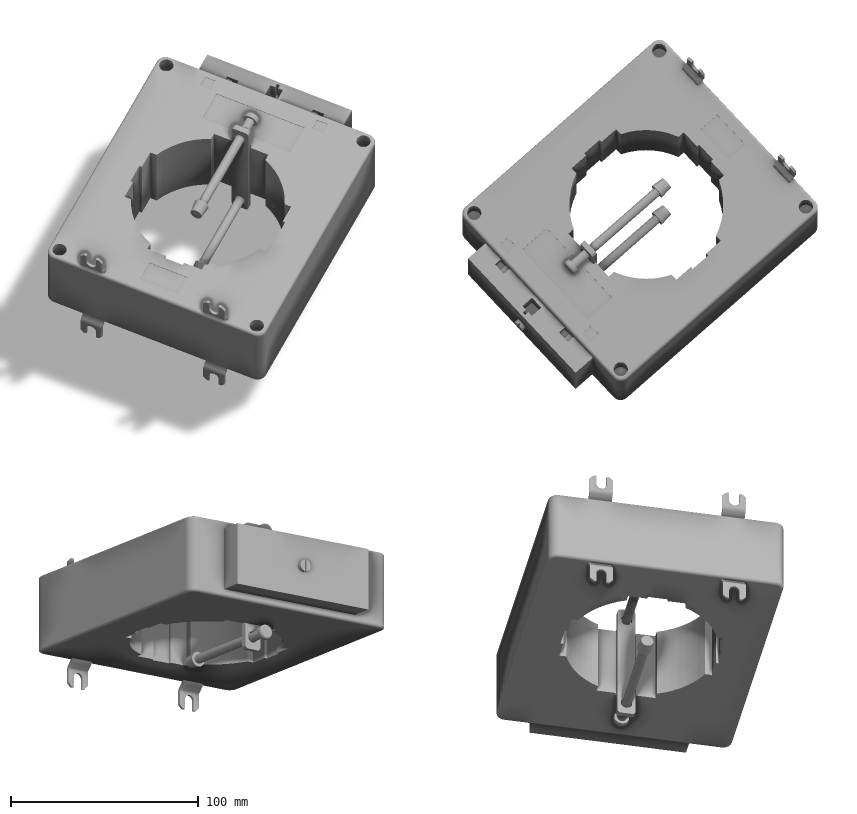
import cadquery as cq
import math


HOUSING_WIDTH = 128.0
HOUSING_HEIGHT = 145.0
HOUSING_DEPTH = 42.0
CORNER_RADIUS = 5.0
RIM_RADIUS = 1.5
FRONT_Z = HOUSING_DEPTH / 2
SIDE_Y = HOUSING_HEIGHT / 2

WINDOW_Y = -4.5
WINDOW_RADIUS = 41.0
ARM_WIDTH = 32.0
ARM_SPAN = 83.0
KEYWAY_WIDTH = 11.0
KEYWAY_SPAN = 86.0

CORNER_HOLE_DIAMETER = 7.6
CORNER_HOLE_DEPTH = 10.0
CORNER_HOLE_X = 58.1
CORNER_HOLE_Y = 66.6

LABEL_DEPTH = 0.3
PLATE_SIZE = (52.0, 17.8)
PLATE_Y = 52.4
SIDE_MARK_SIZE = (22.4, 12.0)
SIDE_MARK_Y = -59.8
TERMINAL_MARK_SIZE = (6.3, 6.3)
TERMINAL_MARK_X = 33.0
TERMINAL_MARK_Y = 65.5

FEET_HEIGHT = 71.4
FOOT_WIDTH = 12.5
FOOT_THICKNESS = 1.5
FOOT_X = 36.15
FOOT_OUTER_Y = -73.7
FOOT_OFFSET = 3.5
FOOT_BEND_Z = 25.2
FOOT_BEND_RADIUS = 1.5
FOOT_CHAMFER = 2.0
FOOT_SLOT_WIDTH = 5.6
FOOT_SLOT_DEPTH = 8.2
FOOT_EMBED = 4.0

COVER_WIDTH = 85.2
COVER_HEIGHT = 12.5
COVER_DEPTH = 33.6
COVER_FRONT_Z = COVER_DEPTH / 2
COVER_TOP_Y = SIDE_Y + COVER_HEIGHT
COVER_SCREW_DIAMETER = 6.5
COVER_SCREW_HEIGHT = 2.5
DRIVER_SLOT_WIDTH = 1.0
DRIVER_SLOT_DEPTH = 1.2
SEAL_POCKET_WIDTH = 7.4
SEAL_POCKET_Y = (74.4, 81.2)
SEAL_NECK_WIDTH = 1.8
SEAL_NECK_END_Y = 83.5
SEAL_POCKET_DEPTH = 10.0
NOTCH_WIDTH = 6.9
NOTCH_STEP_WIDTH = 2.9
NOTCH_HEIGHT = 4.1
NOTCH_DEPTH = 4.0
NOTCH_STEP_DEPTH = 2.0
NOTCH_LEFT_X = -27.1
NOTCH_PITCH = 50.7

BAR_WIDTH = 9.8
BAR_THICKNESS = 3.0
BAR_LENGTH = 70.0
BAR_CORNER_RADIUS = 2.0
BAR_BACK_Y = WINDOW_Y + KEYWAY_SPAN / 2
BAR_HOLE_DIAMETER = 6.2

SCREW_Z = 28.1
SHANK_DIAMETER = 5.0
HEAD_DIAMETER = 8.0
HEAD_TIP_DIAMETER = 6.2
HEAD_HEIGHT = 3.4
HEAD_RIM_HEIGHT = 1.7
HEAD_TOP_Y = 51.5
CAP_DIAMETER = 8.1
CAP_TIP_DIAMETER = 6.6
CAP_LENGTH = 7.0
CAP_TIP_Y = -19.2


def block(x_range, y_range, z_range):
    """Box given by its limits along each axis."""
    (x0, x1), (y0, y1), (z0, z1) = x_range, y_range, z_range
    return cq.Workplane("XY").box(x1 - x0, y1 - y0, z1 - z0, centered=False).translate((x0, y0, z0))


def make_window():
    """Through cutter: a round window with crossed arms and narrow keyways."""
    plane = cq.Workplane("XY", origin=(0, WINDOW_Y, -FRONT_Z))
    cutter = plane.circle(WINDOW_RADIUS).extrude(HOUSING_DEPTH)
    for span, width in ((ARM_SPAN, ARM_WIDTH), (KEYWAY_SPAN, KEYWAY_WIDTH)):
        cutter = cutter.union(plane.rect(span, width).extrude(HOUSING_DEPTH))
        cutter = cutter.union(plane.rect(width, span).extrude(HOUSING_DEPTH))
    return cutter


def make_front_foot(x):
    """Foot rising from the front face: straight, bent 45 degrees outward, then straight again."""
    tip_z = FEET_HEIGHT / 2
    root_z = FRONT_Z - FOOT_EMBED
    outer_y = FOOT_OUTER_Y
    inner_y = outer_y + FOOT_THICKNESS
    mitre = FOOT_THICKNESS * math.tan(math.radians(22.5))
    lower_bend_z = FOOT_BEND_Z - FOOT_OFFSET
    strip = (
        cq.Workplane("YZ")
        .moveTo(outer_y, tip_z)
        .lineTo(outer_y, FOOT_BEND_Z)
        .lineTo(outer_y + FOOT_OFFSET, lower_bend_z)
        .lineTo(outer_y + FOOT_OFFSET, root_z)
        .lineTo(inner_y + FOOT_OFFSET, root_z)
        .lineTo(inner_y + FOOT_OFFSET, lower_bend_z + mitre)
        .lineTo(inner_y, FOOT_BEND_Z + mitre)
        .lineTo(inner_y, tip_z)
        .close()
        .extrude(FOOT_WIDTH / 2, both=True)
    )

    def bend_edge(y, z):
        return cq.selectors.NearestToPointSelector((0, y, z))

    outside_radius = FOOT_BEND_RADIUS + FOOT_THICKNESS
    bends = (
        (outer_y, FOOT_BEND_Z, outside_radius),
        (inner_y, FOOT_BEND_Z + mitre, FOOT_BEND_RADIUS),
        (outer_y + FOOT_OFFSET, lower_bend_z, FOOT_BEND_RADIUS),
        (inner_y + FOOT_OFFSET, lower_bend_z + mitre, outside_radius),
    )
    for y, z, radius in bends:
        strip = strip.edges(bend_edge(y, z)).fillet(radius)
    strip = strip.faces(">Z").edges("|Y").chamfer(FOOT_CHAMFER)

    arc_z = tip_z - FOOT_SLOT_DEPTH + FOOT_SLOT_WIDTH / 2
    half_slot = FOOT_SLOT_WIDTH / 2
    slot = (
        cq.Workplane("XZ", origin=(0, inner_y, 0))
        .moveTo(-half_slot, tip_z)
        .lineTo(-half_slot, arc_z)
        .threePointArc((0, arc_z - half_slot), (half_slot, arc_z))
        .lineTo(half_slot, tip_z)
        .close()
        .extrude(FOOT_THICKNESS)
    )
    return strip.cut(slot).translate((x, 0, 0))


def label_recess(size, x, y):
    """Shallow rectangular cutter in the front face."""
    return cq.Workplane("XY", origin=(x, y, FRONT_Z - LABEL_DEPTH)).rect(*size).extrude(LABEL_DEPTH)


def make_housing():
    """Rounded block with its window, corner holes, label recesses and four feet."""
    housing = (
        cq.Workplane("XY")
        .box(HOUSING_WIDTH, HOUSING_HEIGHT, HOUSING_DEPTH)
        .edges("|Z").fillet(CORNER_RADIUS)
        .faces("<Z or >Z").edges().fillet(RIM_RADIUS)
        .cut(make_window())
    )
    corner_holes = (
        cq.Workplane("XY", origin=(0, 0, FRONT_Z - CORNER_HOLE_DEPTH))
        .rect(2 * CORNER_HOLE_X, 2 * CORNER_HOLE_Y, forConstruction=True)
        .vertices()
        .circle(CORNER_HOLE_DIAMETER / 2)
        .extrude(CORNER_HOLE_DEPTH)
    )
    housing = housing.cut(corner_holes)
    housing = housing.cut(label_recess(PLATE_SIZE, 0, PLATE_Y))
    housing = housing.cut(label_recess(SIDE_MARK_SIZE, 0, SIDE_MARK_Y))
    for side in (-1, 1):
        housing = housing.cut(label_recess(TERMINAL_MARK_SIZE, side * TERMINAL_MARK_X, TERMINAL_MARK_Y))
        foot = make_front_foot(side * FOOT_X)
        housing = housing.union(foot).union(foot.mirror("XY"))
    return housing


def make_cover():
    """Terminal cover on the housing top, with its screw head, seal pocket and stepped notches."""
    half_width = COVER_WIDTH / 2
    cover = block(
        (-half_width, half_width), (SIDE_Y, COVER_TOP_Y), (-COVER_FRONT_Z, COVER_FRONT_Z)
    )

    screw_top_y = COVER_TOP_Y + COVER_SCREW_HEIGHT
    screw_radius = COVER_SCREW_DIAMETER / 2
    screw_plane = cq.Workplane("XZ", origin=(0, screw_top_y, 0))
    screw_head = screw_plane.circle(screw_radius).extrude(COVER_SCREW_HEIGHT)
    driver_slot = block(
        (-DRIVER_SLOT_WIDTH / 2, DRIVER_SLOT_WIDTH / 2),
        (screw_top_y - DRIVER_SLOT_DEPTH, screw_top_y),
        (-screw_radius, screw_radius),
    )
    cover = cover.union(screw_head.cut(driver_slot))

    pocket_z = (COVER_FRONT_Z - SEAL_POCKET_DEPTH, COVER_FRONT_Z)
    chamber = block((-SEAL_POCKET_WIDTH / 2, SEAL_POCKET_WIDTH / 2), SEAL_POCKET_Y, pocket_z)
    neck = block((-SEAL_NECK_WIDTH / 2, SEAL_NECK_WIDTH / 2), (SEAL_POCKET_Y[1], SEAL_NECK_END_Y), pocket_z)
    cover = cover.cut(chamber).cut(neck)

    notch_y = (SIDE_Y, SIDE_Y + NOTCH_HEIGHT)
    for left_x in (NOTCH_LEFT_X, NOTCH_LEFT_X + NOTCH_PITCH):
        step_x = left_x + NOTCH_STEP_WIDTH
        right_x = left_x + NOTCH_WIDTH
        cover = cover.cut(block((left_x, step_x), notch_y, (COVER_FRONT_Z - NOTCH_STEP_DEPTH, COVER_FRONT_Z)))
        cover = cover.cut(block((step_x, right_x), notch_y, (COVER_FRONT_Z - NOTCH_DEPTH, COVER_FRONT_Z)))
    return cover


def make_clamp_bar():
    """Flat bar with rounded ends and a clearance hole for each clamp screw."""
    bar = (
        cq.Workplane("XZ", origin=(0, BAR_BACK_Y, 0))
        .rect(BAR_WIDTH, BAR_LENGTH)
        .extrude(BAR_THICKNESS)
        .edges("|Y").fillet(BAR_CORNER_RADIUS)
    )
    holes = (
        cq.Workplane("XZ", origin=(0, BAR_BACK_Y, 0))
        .pushPoints([(0, -SCREW_Z), (0, SCREW_Z)])
        .circle(BAR_HOLE_DIAMETER / 2)
        .extrude(BAR_THICKNESS)
    )
    return bar.cut(holes)


def make_clamp_screw(z):
    """Screw turned about an axis along Y, from the head at +Y to the cap at -Y."""
    head_base_y = HEAD_TOP_Y - HEAD_HEIGHT
    head_rim_y = head_base_y + HEAD_RIM_HEIGHT
    cap_base_y = CAP_TIP_Y + CAP_LENGTH
    dome_drop = HEAD_TOP_Y - head_rim_y
    dome_inset = (HEAD_DIAMETER - HEAD_TIP_DIAMETER) / 2
    shoulder = (
        HEAD_TIP_DIAMETER / 2 + dome_inset * math.sin(math.pi / 4),
        head_rim_y + dome_drop * math.sin(math.pi / 4),
    )
    return (
        cq.Workplane("XY")
        .moveTo(0, HEAD_TOP_Y)
        .lineTo(HEAD_TIP_DIAMETER / 2, HEAD_TOP_Y)
        .threePointArc(shoulder, (HEAD_DIAMETER / 2, head_rim_y))
        .lineTo(HEAD_DIAMETER / 2, head_base_y)
        .lineTo(SHANK_DIAMETER / 2, head_base_y)
        .lineTo(SHANK_DIAMETER / 2, cap_base_y)
        .lineTo(CAP_DIAMETER / 2, cap_base_y)
        .lineTo(CAP_TIP_DIAMETER / 2, CAP_TIP_Y)
        .lineTo(0, CAP_TIP_Y)
        .close()
        .revolve(360, (0, 0, 0), (0, 1, 0))
        .translate((0, 0, z))
    )


housing = make_housing()
cover = make_cover()
clamp_bar = make_clamp_bar()
clamp_screws = [make_clamp_screw(side * SCREW_Z) for side in (-1, 1)]

result = cq.Compound.makeCompound(
    [
        housing.val(),
        cover.val(),
        clamp_bar.val(),
        *[screw.val() for screw in clamp_screws],
    ]
)